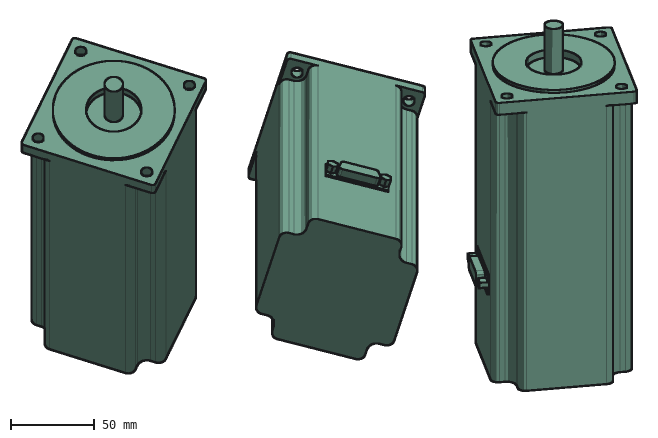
import cadquery as cq
import math

body_width = 85.9
total_height = 222.0
total_depth = 92.3

shaft_diameter = 11.0
shaft_length = 25.0
pilot_diameter = 73.0
pilot_height = 2.0
recess_diameter = 33.0
recess_depth = 5.0

flange_thickness = 8.0
flange_corner_radius = 2.0
mounting_hole_diameter = 6.7
mounting_hole_pitch = 69.7

edge_radius = 4.7
channel_wall_length = 3.3
channel_radius = 6.0

connector_height = 61.2
plate_width = 39.0
plate_height = 12.9
plate_thickness = 1.0
shell_bottom_width = 27.0
shell_top_width = 22.5
shell_height = 9.5
shell_corner_radius = 2.2
post_spacing = 33.0
post_across_flats = 6.0
post_end_setback = 0.7

half_width = body_width / 2
pilot_top = total_height - shaft_length
flange_top = pilot_top - pilot_height
flange_bottom = flange_top - flange_thickness
connector_reach = total_depth - body_width


def make_corner_cutter():
    """Channel removed from the (-X, -Y) corner, symmetric about the corner's diagonal."""
    wall_start = edge_radius
    wall_end = wall_start + channel_wall_length
    channel_reach = wall_end + channel_radius
    flat_start = channel_reach + edge_radius
    arc_bulge = channel_radius * math.sqrt(0.5)
    edge_bulge = edge_radius * (1 - math.sqrt(0.5))
    return (
        cq.Workplane("XY", origin=(-half_width, -half_width, 0))
        .moveTo(0, flat_start)
        .threePointArc((edge_bulge, channel_reach + edge_bulge), (wall_start, channel_reach))
        .lineTo(wall_end, channel_reach)
        .threePointArc((wall_end + arc_bulge, wall_end + arc_bulge), (channel_reach, wall_end))
        .lineTo(channel_reach, wall_start)
        .threePointArc((channel_reach + edge_bulge, edge_bulge), (flat_start, 0))
        .lineTo(0, 0)
        .close()
        .extrude(flange_bottom)
    )


def make_body():
    """Square motor housing with a channel along each corner."""
    body = cq.Workplane("XY").rect(body_width, body_width).extrude(flange_bottom)
    cutter = make_corner_cutter()
    for quarter_turn in range(4):
        body = body.cut(cutter.rotate((0, 0, 0), (0, 0, 1), 90 * quarter_turn))
    return body


def make_flange():
    """Mounting plate with four holes, the pilot disc, the recess and the shaft."""
    plate = (
        cq.Workplane("XY", origin=(0, 0, flange_bottom))
        .rect(body_width, body_width)
        .extrude(flange_thickness)
        .edges("|Z")
        .fillet(flange_corner_radius)
    )
    holes = (
        cq.Workplane("XY", origin=(0, 0, flange_bottom))
        .rect(mounting_hole_pitch, mounting_hole_pitch, forConstruction=True)
        .vertices()
        .circle(mounting_hole_diameter / 2)
        .extrude(flange_thickness)
    )
    pilot = cq.Workplane("XY", origin=(0, 0, flange_top)).circle(pilot_diameter / 2).extrude(pilot_height)
    recess_floor = cq.Workplane("XY", origin=(0, 0, pilot_top - recess_depth))
    recess = recess_floor.circle(recess_diameter / 2).extrude(recess_depth)
    shaft = recess_floor.circle(shaft_diameter / 2).extrude(recess_depth + shaft_length)
    return plate.cut(holes).union(pilot).cut(recess).union(shaft)


def make_connector():
    """D-shaped connector with its plate and two hexagonal posts, facing +Y."""
    face = cq.Workplane(cq.Plane((0, half_width, connector_height), (-1, 0, 0), (0, 1, 0)))
    plate = face.rect(plate_width, plate_height).extrude(plate_thickness)
    half_bottom = shell_bottom_width / 2
    half_top = shell_top_width / 2
    half_height = shell_height / 2
    shell = (
        face.moveTo(-half_top, half_height)
        .lineTo(half_top, half_height)
        .lineTo(half_bottom, -half_height)
        .lineTo(-half_bottom, -half_height)
        .close()
        .extrude(connector_reach)
        .edges("|Y")
        .fillet(shell_corner_radius)
    )
    post = (
        face.transformed(rotate=(0, 0, 90))
        .pushPoints([(0, -post_spacing / 2), (0, post_spacing / 2)])
        .polygon(6, post_across_flats / math.cos(math.pi / 6))
        .extrude(connector_reach - post_end_setback)
    )
    return plate.union(shell).union(post)


result = make_body().union(make_flange()).union(make_connector())